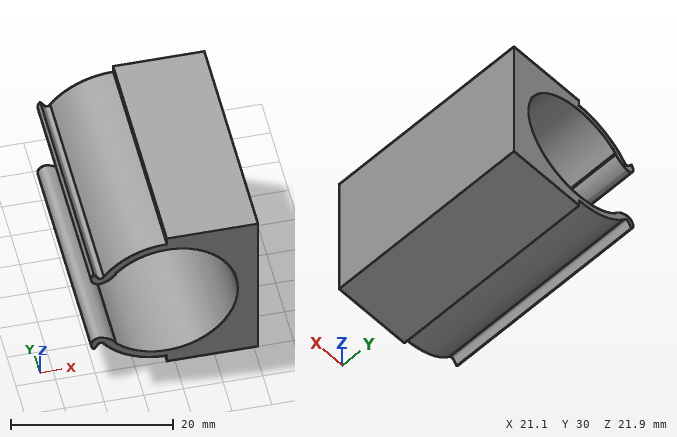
import cadquery as cq
import math

length = 30.0
bore_radius = 8.95
block_cover = 2.0
half_height = bore_radius + block_cover
block_depth = 11.5

arm_thickness = 1.0
arm_radius = bore_radius + arm_thickness

arm_end_x = -7.95
notch_bottom = (-8.36, 5.7)
notch_end = (-8.68, 5.92)
lip_tip = (-9.2, 6.65)
lip_outermost = (-9.55, 5.86)
lip_underside = (-8.35, 4.79)
lip_flank_middle = (-7.35, 5.22)
lip_corner = (-6.45, 6.07)
lip_step_top_x = -6.38


def point_on_circle(radius, x):
    """Upper point at a given X on a circle around the bore axis."""
    return (x, math.sqrt(radius**2 - x**2))


def mirrored(point):
    """Matching point on the lower arm."""
    return (point[0], -point[1])


def make_clip():
    """Block, arms and lips as one profile, extruded symmetrically about Y = 0."""
    arm_end = point_on_circle(arm_radius, arm_end_x)
    arm_middle = point_on_circle(arm_radius, arm_end_x / 2)
    lip_step_top = point_on_circle(bore_radius, lip_step_top_x)
    profile = (
        cq.Workplane("XZ", origin=(0, length / 2, 0))
        .moveTo(block_depth, -half_height)
        .lineTo(block_depth, half_height)
        .lineTo(0, half_height)
        .lineTo(0, arm_radius)
        .threePointArc(arm_middle, arm_end)
        .threePointArc(notch_bottom, notch_end)
        .lineTo(*lip_tip)
        .threePointArc(lip_outermost, lip_underside)
        .threePointArc(lip_flank_middle, lip_corner)
        .lineTo(*lip_step_top)
        .threePointArc((bore_radius, 0), mirrored(lip_step_top))
        .lineTo(*mirrored(lip_corner))
        .threePointArc(mirrored(lip_flank_middle), mirrored(lip_underside))
        .threePointArc(mirrored(lip_outermost), mirrored(lip_tip))
        .lineTo(*mirrored(notch_end))
        .threePointArc(mirrored(notch_bottom), mirrored(arm_end))
        .threePointArc(mirrored(arm_middle), (0, -arm_radius))
        .lineTo(0, -half_height)
        .close()
    )
    return profile.extrude(length)


result = make_clip()